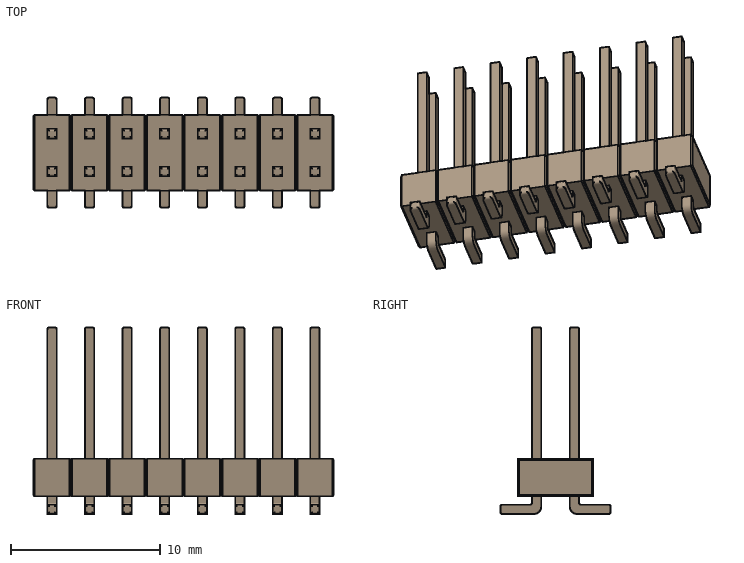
import cadquery as cq

ROW_LENGTH = 20.14
MODULE_COUNT = 8
MODULE_WIDTH = ROW_LENGTH / MODULE_COUNT

BLOCK_DEPTH = 5.08
BLOCK_HEIGHT = 2.54
BLOCK_CHAMFER = 0.1
BLOCK_UNDERSIDE_Z = 1.18

PIN_SIZE = 0.64
PIN_SPACING = BLOCK_DEPTH / 2
PIN_TOP_Z = 12.52
FEET_SPAN = 7.4
BEND_INNER_RADIUS = 0.1
BEND_OUTER_RADIUS = 0.5
TIP_RADIUS = 0.15

POST_INNER_Y = (PIN_SPACING - PIN_SIZE) / 2
POST_OUTER_Y = POST_INNER_Y + PIN_SIZE
FOOT_END_Y = FEET_SPAN / 2


def make_block():
    """Block whose two end faces along X have chamfered rims."""
    return (
        cq.Workplane("XY", origin=(0, 0, BLOCK_UNDERSIDE_Z))
        .box(MODULE_WIDTH, BLOCK_DEPTH, BLOCK_HEIGHT, centered=(True, True, False))
        .faces("<X or >X")
        .chamfer(BLOCK_CHAMFER)
    )


def make_pin():
    """L-shaped pin on the +Y side: upright post, rounded bend, foot pointing outward."""
    pin = (
        cq.Workplane("YZ")
        .moveTo(POST_INNER_Y, PIN_TOP_Z)
        .lineTo(POST_INNER_Y, BEND_OUTER_RADIUS)
        .radiusArc((POST_INNER_Y + BEND_OUTER_RADIUS, 0), -BEND_OUTER_RADIUS)
        .lineTo(FOOT_END_Y, 0)
        .lineTo(FOOT_END_Y, PIN_SIZE)
        .lineTo(POST_OUTER_Y + BEND_INNER_RADIUS, PIN_SIZE)
        .radiusArc((POST_OUTER_Y, PIN_SIZE + BEND_INNER_RADIUS), BEND_INNER_RADIUS)
        .lineTo(POST_OUTER_Y, PIN_TOP_Z)
        .close()
        .extrude(PIN_SIZE / 2, both=True)
    )
    for tip_face in (">Z", ">Y"):
        pin = pin.faces(tip_face).edges().fillet(TIP_RADIUS)
    return pin


def make_module():
    """Block with its mirrored pair of pins, as one solid."""
    pin = make_pin()
    return make_block().union(pin).union(pin.mirror("XZ"))


module = make_module()
first_module_x = (MODULE_WIDTH - ROW_LENGTH) / 2
modules = []
for index in range(MODULE_COUNT):
    module_x = first_module_x + index * MODULE_WIDTH
    modules.append(module.translate((module_x, 0, 0)).solids().val())

result = cq.Compound.makeCompound(modules)